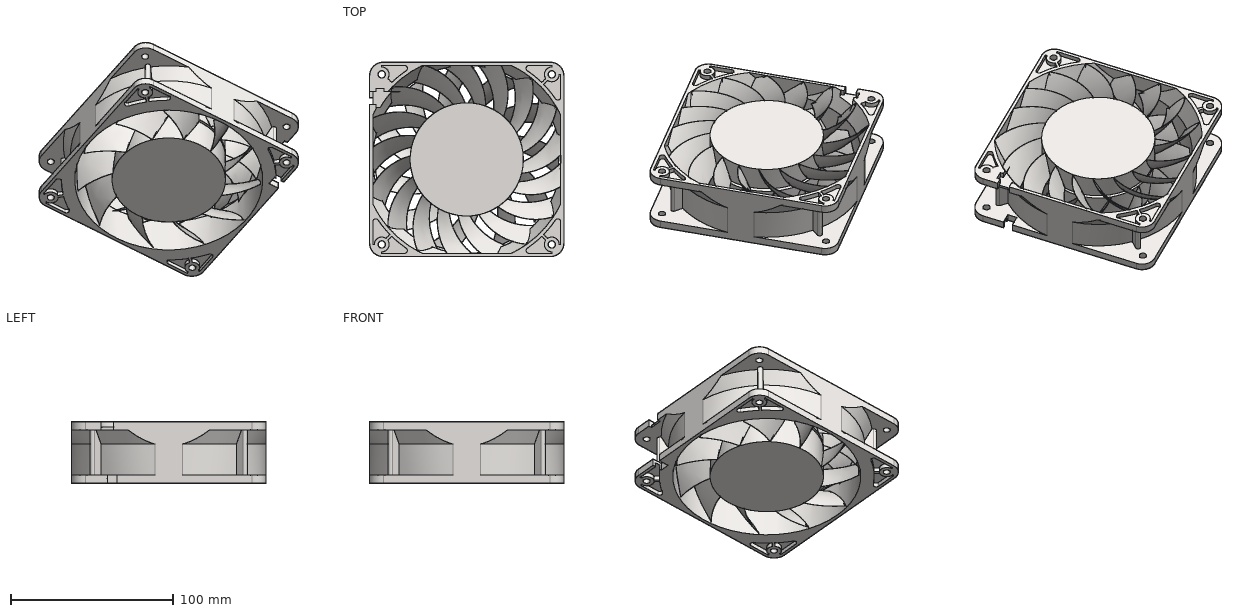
import cadquery as cq
import math

SIZE = 120.0
HEIGHT = 38.0
HALF = SIZE / 2
CORNER_RADIUS = 8.5
FLANGE = 5.0
FLANGE_UNDERSIDE = HEIGHT - FLANGE

BORE_RADIUS = 58.0
MOUTH_RADIUS = 64.1
FLARE_SLOPE = 0.51
FLARE_START = HEIGHT - (MOUTH_RADIUS - BORE_RADIUS) / FLARE_SLOPE
FLAT_DISTANCE = 58.0
BARREL_RADIUS = 60.6
BARREL_FLARE_START = 24.1
MERGE = 0.6

HOLE_OFFSET = 52.5
HOLE_DIAMETER = 4.3
BOSS_RADIUS = 4.5
WEB_WIDTH = 1.7
POCKET_DEPTH = 3.0
POCKET_INNER_RADIUS = 66.2
POCKET_TIP_RADIUS = 1.8
RIB_WIDTH = 3.2
RIB_REACH = 67.8

TOP_NOTCH_FLOOR = 34.5
TOP_NOTCH_Y = (34.0, 41.8)
TOP_NOTCH_END_X = -41.2
CABLE_CLIP_X = (-55.9, -51.0)
CABLE_CLIP_Y = (31.9, 43.8)
BOTTOM_NOTCH_Y = (31.9, 37.9)
BOTTOM_NOTCH_END_X = -53.0

HUB_RADIUS = 34.9
ROTOR_BOTTOM = 23.0
STATOR_TOP = 21.0
BLADE_COUNT = 17
BLADE_PITCH = 360 / BLADE_COUNT
BLADE_SPAN = (33.6, 48.0, 64.8)
BLADE_TOP_ANGLES = (6.3, 15.6, 30.8)
BLADE_BOTTOM_ANGLES = (18.0, 30.2, 48.1)
VANE_COUNT = 11
VANE_PITCH = 32.1
VANE_SPAN = (33.6, 45.6, 56.8)
VANE_TOP_ANGLES = (-38.5, -49.4, -59.1)
VANE_BOTTOM_ANGLES = (-55.7, -66.0, -75.0)
EDGE_THICKNESS = 0.2
MID_THICKNESS = 2.2
BULGE = 0.6


def span_box(x_range, y_range, z_range):
    """Box that fills the given ranges."""
    size = [high - low for low, high in (x_range, y_range, z_range)]
    corner = (x_range[0], y_range[0], z_range[0])
    return cq.Workplane("XY").box(*size, centered=False).translate(corner)


def flared_plug(radius, flare_start, bottom, top):
    """Cylinder that widens with the duct flare above flare_start."""
    top_radius = radius + FLARE_SLOPE * (top - flare_start)
    profile = [(0, bottom), (radius, bottom), (radius, flare_start), (top_radius, top), (0, top)]
    return cq.Workplane("XZ").polyline(profile).close().revolve(360, (0, 0), (0, 1))


def duct_cavity(grow, bottom):
    """Air space inside the duct, enlarged by grow."""
    plug = flared_plug(BORE_RADIUS + grow, FLARE_START, bottom, HEIGHT)
    side = 2 * (FLAT_DISTANCE + grow)
    prism = cq.Workplane("XY").workplane(offset=bottom).rect(side, side).extrude(HEIGHT - bottom)
    return plug.intersect(prism)


def flange(bottom):
    plate = cq.Workplane("XY").workplane(offset=bottom).rect(SIZE, SIZE).extrude(FLANGE)
    return plate.edges("|Z").fillet(CORNER_RADIUS)


def barrel():
    """Outside of the duct wall, cut off by the four sides of the frame."""
    block = cq.Workplane("XY").rect(SIZE, SIZE).extrude(HEIGHT)
    return block.intersect(flared_plug(BARREL_RADIUS, BARREL_FLARE_START, 0, FLANGE_UNDERSIDE))


def corner_rib(angle):
    """Rib along a corner diagonal with a rounded outer end."""
    height = FLANGE_UNDERSIDE - FLANGE
    tip_center = RIB_REACH - RIB_WIDTH / 2
    length = tip_center - BORE_RADIUS
    base = cq.Workplane("XY").workplane(offset=FLANGE)
    rib = base.center(BORE_RADIUS + length / 2, 0).rect(length, RIB_WIDTH).extrude(height)
    tip = cq.Workplane("XY").workplane(offset=FLANGE).center(tip_center, 0)
    rib = rib.union(tip.circle(RIB_WIDTH / 2).extrude(height))
    return rib.rotate((0, 0, 0), (0, 0, 1), angle)


def corner_pocket():
    """Pocket beside the +Y side of the (+X, +Y) corner, in the top face."""
    floor = HEIGHT - POCKET_DEPTH
    pocket = span_box((0, HOLE_OFFSET), (0, FLAT_DISTANCE), (floor, HEIGHT))
    pocket = pocket.cut(cq.Workplane("XY").circle(POCKET_INNER_RADIUS).extrude(HEIGHT))
    pocket = pocket.edges("|Z and <X").fillet(POCKET_TIP_RADIUS)
    boss = cq.Workplane("XY").center(HOLE_OFFSET, HOLE_OFFSET).circle(BOSS_RADIUS).extrude(HEIGHT)
    web = cq.Workplane("XY").rect(2 * SIZE, WEB_WIDTH).extrude(HEIGHT)
    web = web.rotate((0, 0, 0), (0, 0, 1), 45)
    below_diagonal = cq.Workplane("XY").polyline([(0, 0), (SIZE, 0), (SIZE, SIZE)]).close().extrude(HEIGHT)
    return pocket.cut(boss).cut(web).cut(below_diagonal)


def corner_pockets():
    """Pockets of both flanges; the top one beside the cable notch is left out."""
    beside_y = corner_pocket()
    beside_x = beside_y.mirror("YZ").rotate((0, 0, 0), (0, 0, 1), -90)
    pockets = []
    for quarter in range(4):
        for pocket in (beside_x, beside_y):
            top_pocket = pocket.rotate((0, 0, 0), (0, 0, 1), 90 * quarter)
            pockets.append(top_pocket.mirror("XY", (0, 0, HEIGHT / 2)))
            if not (quarter == 1 and pocket is beside_y):
                pockets.append(top_pocket)
    return pockets


def cable_notches():
    """Cutters for the clip-shaped notch at the top and the plain one at the bottom."""
    above_floor = (TOP_NOTCH_FLOOR, HEIGHT)
    return [
        span_box((-HALF, TOP_NOTCH_END_X), TOP_NOTCH_Y, above_floor),
        span_box(CABLE_CLIP_X, CABLE_CLIP_Y, above_floor),
        span_box((-HALF, -FLAT_DISTANCE), TOP_NOTCH_Y, (FLANGE_UNDERSIDE, HEIGHT)),
        span_box((-HALF, BOTTOM_NOTCH_END_X), BOTTOM_NOTCH_Y, (0, FLANGE)),
    ]


def polar(radius, angle):
    return (radius * math.cos(math.radians(angle)), radius * math.sin(math.radians(angle)))


def swept_strip(height, radii, angles, thickness):
    """Curved strip at one height, running outwards and centred on the given angles."""
    near = [polar(radius, angle - thickness / 2) for radius, angle in zip(radii, angles)]
    far = [polar(radius, angle + thickness / 2) for radius, angle in zip(radii, angles)]
    strip = cq.Workplane("XY").workplane(offset=height).moveTo(*near[0])
    strip = strip.threePointArc(near[1], near[2]).lineTo(*far[2])
    return strip.threePointArc(far[1], far[0]).close().val()


def twisted_blade(bottom, top, radii, bottom_angles, top_angles):
    """Blade with sharp top and bottom edges, thickest and bulged clockwise at half height."""
    mid_angles = [(low + high) / 2 - BULGE for low, high in zip(bottom_angles, top_angles)]
    strips = [
        swept_strip(bottom, radii, bottom_angles, EDGE_THICKNESS),
        swept_strip((bottom + top) / 2, radii, mid_angles, MID_THICKNESS),
        swept_strip(top, radii, top_angles, EDGE_THICKNESS),
    ]
    return cq.Workplane(cq.Solid.makeLoft(strips))


def ring_of(blade, count, pitch):
    """Copies of a blade, spaced around the axis by the pitch angle."""
    return [blade.rotate((0, 0, 0), (0, 0, 1), pitch * i) for i in range(count)]


def build_housing():
    """Frame with the bladed rotor, whose blade tips grow into the duct wall."""
    body = barrel().union(flange(0)).union(flange(FLANGE_UNDERSIDE))
    for quarter in range(4):
        body = body.union(corner_rib(45 + 90 * quarter))
    body = body.cut(duct_cavity(0, 0))
    holes = cq.Workplane("XY").rect(2 * HOLE_OFFSET, 2 * HOLE_OFFSET, forConstruction=True)
    holes = holes.vertices().circle(HOLE_DIAMETER / 2).extrude(HEIGHT)
    body = body.cut(holes)
    for pocket in corner_pockets():
        body = body.cut(pocket)
    blade = twisted_blade(
        ROTOR_BOTTOM, HEIGHT, BLADE_SPAN, BLADE_BOTTOM_ANGLES, BLADE_TOP_ANGLES
    )
    blade_space = duct_cavity(MERGE, ROTOR_BOTTOM)
    for copy in ring_of(blade, BLADE_COUNT, BLADE_PITCH):
        body = body.union(copy.intersect(blade_space))
    hub = cq.Workplane("XY").workplane(offset=ROTOR_BOTTOM).circle(HUB_RADIUS)
    body = body.union(hub.extrude(HEIGHT - ROTOR_BOTTOM))
    for notch in cable_notches():
        body = body.cut(notch)
    return body


def build_stator():
    """Lower hub with guide vanes that end short of the duct wall."""
    body = cq.Workplane("XY").circle(HUB_RADIUS).extrude(STATOR_TOP)
    vane = twisted_blade(0, STATOR_TOP, VANE_SPAN, VANE_BOTTOM_ANGLES, VANE_TOP_ANGLES)
    for copy in ring_of(vane, VANE_COUNT, VANE_PITCH):
        body = body.union(copy)
    return body


housing = build_housing()
stator = build_stator()
result = cq.Compound.makeCompound([*housing.vals(), *stator.vals()])